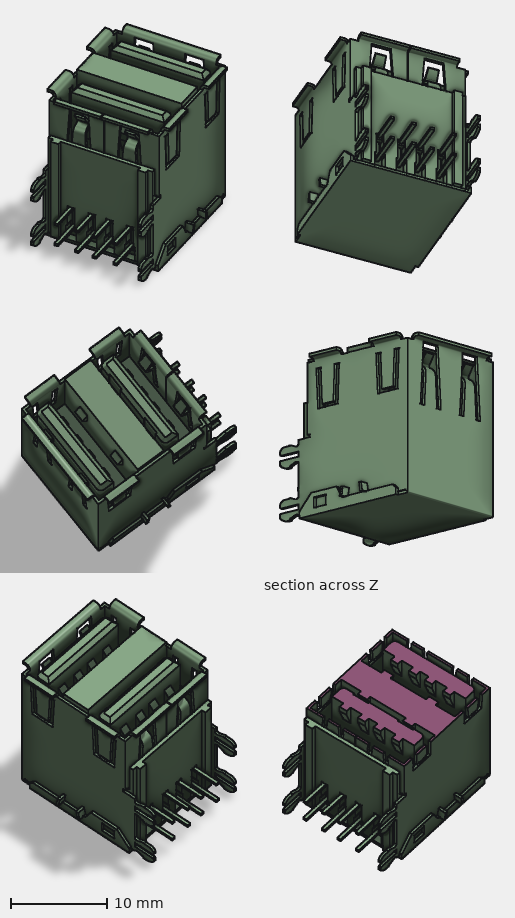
import cadquery as cq


sheet = 0.33
shell_width = 13.1
shell_depth = 14.25
wall_top = 16.75
overall_top = 17.4
wall_bottom = 0.4
port_pitch = 8.5
tiny = 0.05

fold_radius = 0.2

half_width = shell_width / 2
half_inner = half_width - sheet
back_inner = shell_depth - sheet

lip_reach = 0.71
lip_inner_radius = overall_top - wall_top
lip_outer_radius = lip_inner_radius - sheet
front_lip_length = 11.2
side_lip_length = 3.9
side_lip_front = 0.91

front_edge = -1.28
plate_front = -0.79
plate_back = -0.3
plate_top = 12.57
step_top = 8.64
front_wall_bottom = 8.97
notch_top = 9.2
seam_width = 0.1
rib_inner = 4.71
rib_outer = 5.66
gap_chamfer = 0.2

housing_bottom = sheet
cavity_floor = 8.6
divider_front = 5.4
divider_back = 8.82

tongue_width = 11.06
tongue_front = 2.93
tongue_thickness = 1.85
tongue_top = 16.76
tongue_corner = 0.6
tongue_chamfer = 0.48
relief_inner = 1.99
relief_outer = 4.01
relief_depth = 0.16

bump_width = 1.28
bump_reach = 0.65
bump_bottom = 12.5
bump_crest = 13.65
bump_top = 14.3

contact_places = (-3.5, -1.05, 1.05, 3.5)
contact_width = 1.0
contact_reach = 0.63
contact_top = 14.38
contact_bow_top = 13.67
contact_bow_bottom = 12.8
contact_bottom = 11.0
pin_width = 0.43
pin_thickness = 0.27
pin_tip = -4.02
upper_pin_bottom = 4.27
lower_pin_bottom = 1.65

groove_width = 0.85
groove_foot_width = 1.2
groove_top = 4.53
groove_step = 4.03
groove_back = 0.2
groove_step_depth = 0.25
groove_foot_top = 2.15
groove_foot_taper = 0.18
ledge_top = 0.87
ledge_depth = 0.08

finger_center = 3.0
window_bottom = 10.0
window_top = 16.83
window_foot_half = 1.57
window_top_half = 1.1
finger_bend = 13.5
finger_crest = 14.65
finger_tip = 15.97
finger_reach = 0.83
finger_foot_half = 0.95
finger_tip_half = 0.58

tab_slot_top = 15.88
tab_slot_bottom = 11.5
tab_bottom = 11.89
slot_top_span = (1.27, 4.54)
slot_foot_span = (1.51, 4.35)
tab_top_span = (1.93, 3.87)
tab_foot_span = (2.12, 3.7)

base_front = -0.82
base_back = 12.92
half_base = half_width + sheet
flap_corner = 0.72
flap_low = 1.17
flap_high = 2.45
flap_low_span = (5.22, 12.43)
flap_high_span = (0.86, 4.46)
flap_window_y = (1.25, 2.94)
flap_window_z = (0.76, 1.9)
stud_tip = 7.5
stud_thickness = 0.33
stud_lean = 0.16
stud_knee_lean = 0.1
stud_knee = 1.84
rear_stud = 8.55
front_stud = 5.63
stud_bottom = 1.1
stud_top = 2.08

leg_length = 2.62
leg_slot_middles = (7.12, 1.41)
leg_slot_half = 0.28
leg_tip_chamfer = (0.1, 0.12)
upper_root = 1.05
upper_neck = 0.91
upper_lobe = 1.12
upper_shoulder = 0.66
lower_root = 0.92
lower_neck = 0.8
lower_lobe = 1.24
lower_heel = 1.04
lower_shoulder = 0.76


def box(x0, x1, y0, y1, z0, z1):
    return cq.Workplane("XY").box(x1 - x0, y1 - y0, z1 - z0, centered=False).translate((x0, y0, z0))


def side_profile(points, x0, x1):
    """Extrude a (Y, Z) polygon from x0 to x1."""
    return cq.Workplane("YZ").workplane(offset=x0).polyline(points).close().extrude(x1 - x0)


def front_profile(points, y0, y1):
    """Extrude an (X, Z) polygon from y0 to y1."""
    return cq.Workplane("XZ").workplane(offset=-y1).polyline(points).close().extrude(y1 - y0)


def both_sides(body):
    return body.union(body.mirror("YZ"))


def mirror_front_to_back(body):
    return body.mirror("XZ").translate((0, shell_depth, 0))


def lip(length):
    """Flared lip along X; the wall's outer face is Y = 0 and the lip turns toward -Y."""
    diagonal = 0.5 ** 0.5
    center_y = -lip_outer_radius
    return (
        cq.Workplane("YZ").workplane(offset=-length / 2)
        .moveTo(0, wall_top - tiny)
        .lineTo(0, wall_top)
        .threePointArc(
            (center_y + lip_outer_radius * diagonal, wall_top + lip_outer_radius * diagonal),
            (center_y, wall_top + lip_outer_radius))
        .lineTo(-lip_reach, wall_top + lip_outer_radius)
        .lineTo(-lip_reach, overall_top)
        .lineTo(center_y, overall_top)
        .threePointArc(
            (center_y + lip_inner_radius * diagonal, wall_top + lip_inner_radius * diagonal),
            (sheet, wall_top))
        .lineTo(sheet, wall_top - tiny)
        .close()
        .extrude(length)
    )


def make_lips():
    front = lip(front_lip_length)
    side = lip(side_lip_length).rotate((0, 0, 0), (0, 0, 1), -90).translate((-half_width, 0, 0))
    lips = front.union(mirror_front_to_back(front))
    for port in range(2):
        middle = side_lip_front + side_lip_length / 2 + port * port_pitch
        lips = lips.union(both_sides(side.translate((0, middle, 0))))
    return lips


def leg_prongs(slot_middle):
    """Upper and lower prong of one snap-in leg, drawn as (Y, Z) outlines around its slot."""
    tip = front_edge - leg_length
    upper_lobe_span = (tip + 0.65, tip + 1.3)
    upper_curve = (tip + 0.3, upper_lobe - 0.11)
    lower_lobe_span = (tip + 0.9, tip + 1.36)
    lower_curve = (tip + 0.4, 0.16 - lower_lobe)
    heel = tip + 1.5
    root = front_edge + tiny
    neck = front_edge - 0.15
    neck_end = front_edge - 0.42
    chamfer_y, chamfer_z = leg_tip_chamfer
    upper = (
        cq.Workplane("YZ").moveTo(root, leg_slot_half)
        .lineTo(tip + chamfer_y, leg_slot_half)
        .lineTo(tip, leg_slot_half + chamfer_z)
        .lineTo(tip, upper_shoulder)
        .threePointArc(upper_curve, (upper_lobe_span[0], upper_lobe))
        .lineTo(upper_lobe_span[1], upper_lobe)
        .spline([(neck_end, upper_neck), (neck, upper_neck), (front_edge, upper_root)],
                includeCurrent=True)
        .lineTo(root, upper_root)
        .close()
        .extrude(sheet)
    )
    lower = (
        cq.Workplane("YZ").moveTo(root, -leg_slot_half)
        .lineTo(tip + chamfer_y, -leg_slot_half)
        .lineTo(tip, -leg_slot_half - chamfer_z)
        .lineTo(tip, -lower_shoulder)
        .threePointArc(lower_curve, (lower_lobe_span[0], -lower_lobe))
        .lineTo(lower_lobe_span[1], -lower_lobe)
        .lineTo(heel, -lower_heel)
        .spline([(neck_end, -lower_neck), (neck, -lower_neck), (front_edge, -lower_root)],
                includeCurrent=True)
        .lineTo(root, -lower_root)
        .close()
        .extrude(sheet)
    )
    return upper.union(lower).translate((0, 0, slot_middle))


def wall_trapezoid(top_span, top, foot_span, foot):
    """Sheet-thick trapezoid given by its Y extents at two heights."""
    return side_profile(
        [(top_span[0], top), (top_span[1], top), (foot_span[1], foot), (foot_span[0], foot)], 0, sheet)


def cut_tab_slot(wall, port):
    """U-shaped slot that leaves a tab hanging from its upper edge."""
    slot = wall_trapezoid(slot_top_span, tab_slot_top, slot_foot_span, tab_slot_bottom)
    tab = wall_trapezoid(tab_top_span, tab_slot_top, tab_foot_span, tab_bottom)
    return wall.cut(slot.cut(tab).translate((0, port * port_pitch, 0)))


def make_side_walls():
    wall = side_profile(
        [(shell_depth, wall_bottom), (shell_depth, wall_top), (0, wall_top), (0, notch_top),
         (sheet, notch_top), (sheet, step_top), (front_edge, step_top), (front_edge, wall_bottom)],
        0, sheet)
    for port in range(2):
        wall = cut_tab_slot(wall, port)
    for slot_middle in leg_slot_middles:
        wall = wall.union(leg_prongs(slot_middle))
    return both_sides(wall.translate((half_inner, 0, 0)))


def window_outline():
    """Trapezoidal finger window, narrower at the top, as (X, Z) points."""
    left = -finger_center - window_foot_half
    right = -finger_center + window_foot_half
    top_left = -finger_center - window_top_half
    top_right = -finger_center + window_top_half
    return [(left, window_bottom), (right, window_bottom), (top_right, window_top), (top_left, window_top)]


def make_finger():
    """Spring finger rising from the window's lower edge and bowing into the port."""
    foot = window_bottom - tiny
    crest_inner = finger_reach + sheet
    outer_bend = (0.45, finger_bend + 0.8)
    inner_bend = (0.62, finger_bend + 0.52)
    inner_bend_middle = (0.41, finger_bend + 0.3)
    outer_rounding = (0.1, 0.2)
    inner_rounding = (0.12, 0.3)
    tip_outer = (0.1, finger_tip - 0.2)
    tip_inner = (0.25, finger_tip)
    bowed = (
        cq.Workplane("YZ").workplane(offset=-half_width)
        .moveTo(0, foot)
        .lineTo(0, finger_bend)
        .tangentArcPoint(outer_bend, relative=False)
        .lineTo(finger_reach - outer_rounding[0], finger_crest - outer_rounding[1])
        .threePointArc((finger_reach, finger_crest),
                       (finger_reach - outer_rounding[0], finger_crest + outer_rounding[1]))
        .lineTo(*tip_outer)
        .lineTo(*tip_inner)
        .lineTo(crest_inner - inner_rounding[0], finger_crest + inner_rounding[1])
        .threePointArc((crest_inner, finger_crest),
                       (crest_inner - inner_rounding[0], finger_crest - inner_rounding[1]))
        .lineTo(*inner_bend)
        .threePointArc(inner_bend_middle, (sheet, finger_bend))
        .lineTo(sheet, foot)
        .close()
        .extrude(half_width)
    )
    taper = front_profile(
        [(-finger_center - finger_foot_half, foot), (-finger_center + finger_foot_half, foot),
         (-finger_center + finger_tip_half, finger_tip), (-finger_center - finger_tip_half, finger_tip)],
        0, crest_inner)
    return bowed.intersect(taper)


def make_end_walls():
    """Front and back walls of the shell with their windows and spring fingers."""
    windows = both_sides(front_profile(window_outline(), -lip_reach, sheet))
    fingers = both_sides(make_finger())
    lips = make_lips()
    front = box(-half_width, half_width, 0, sheet, front_wall_bottom, wall_top)
    back = box(-half_width, half_width, back_inner, shell_depth, 0, wall_top)
    back = back.edges(">Y and <Z").fillet(fold_radius)
    walls = front.union(back).union(lips)
    walls = walls.cut(windows).cut(mirror_front_to_back(windows))
    seam = box(-seam_width / 2, seam_width / 2, -lip_reach, sheet, front_wall_bottom, overall_top)
    return walls.cut(seam).union(fingers).union(mirror_front_to_back(fingers))


def make_stud(foot_y, lean):
    """Tilted stud with a hooked tip; lean is +1 or -1, the way it tilts along Y."""
    half = stud_thickness / 2
    leading = foot_y + lean * half
    trailing = foot_y - lean * half
    outline = [
        (leading, stud_bottom),
        (leading + lean * stud_knee_lean, stud_knee),
        (leading + lean * stud_lean, stud_top),
        (trailing + lean * stud_lean, stud_top),
        (trailing + lean * stud_lean, stud_knee),
        (trailing, stud_bottom),
    ]
    return side_profile(outline, half_width - tiny, stud_tip)


def make_base():
    """Bottom plate whose side flaps fold up against the side walls."""
    base = box(-half_base, half_base, base_front, base_back, 0, sheet)
    base = base.union(box(-half_width, half_width, base_back, back_inner, 0, sheet))
    flap = side_profile(
        [(base_back, 0), (base_back, flap_corner), (flap_low_span[1], flap_low), (flap_low_span[0], flap_low),
         (flap_high_span[1], flap_high), (flap_high_span[0], flap_high),
         (base_front, flap_corner), (base_front, 0)],
        half_width, half_base)
    flap = flap.cut(box(half_width, half_base, *flap_window_y, *flap_window_z))
    flap = flap.union(make_stud(rear_stud, -1)).union(make_stud(front_stud, 1))
    return base.union(both_sides(flap))


def make_tongue():
    """Front port's tongue: rounded rear corners and a chamfered tip."""
    tongue = box(-tongue_width / 2, tongue_width / 2, tongue_front, tongue_front + tongue_thickness,
                 cavity_floor - tiny, tongue_top)
    tongue = tongue.edges("|Z and >Y").fillet(tongue_corner)
    return tongue.faces(">Z").chamfer(tongue_chamfer)


def make_contacts():
    """Bowed contacts on the front face of the front port's tongue."""
    bow = tongue_front - contact_reach
    root = tongue_front + tiny
    profile = [(root, contact_top), (tongue_front, contact_top), (bow, contact_bow_top),
               (bow, contact_bow_bottom), (tongue_front, contact_bottom), (root, contact_bottom)]
    contacts = cq.Workplane("XY")
    for place in contact_places:
        contacts = contacts.union(
            side_profile(profile, place - contact_width / 2, place + contact_width / 2))
    return contacts


def make_divider():
    """Block between the ports, with a pair of sprung bumps on its front and back faces."""
    divider = box(-half_inner, half_inner, divider_front, divider_back, cavity_floor - tiny, overall_top)
    bump = side_profile(
        [(divider_front - bump_reach, bump_crest), (divider_front, bump_bottom),
         (divider_back, bump_bottom), (divider_back + bump_reach, bump_crest),
         (divider_back, bump_top), (divider_front, bump_top)],
        -finger_center - bump_width / 2, -finger_center + bump_width / 2)
    return divider.union(both_sides(bump))


def make_plate():
    """Mounting-side plate with two full-height ribs."""
    plate = box(-half_inner, half_inner, plate_front, plate_back, housing_bottom, plate_top)
    rib = box(rib_inner, rib_outer, front_edge, plate_front, housing_bottom, plate_top)
    root_chamfer = side_profile(
        [(plate_back, front_wall_bottom), (plate_back + gap_chamfer, front_wall_bottom),
         (plate_back, front_wall_bottom + gap_chamfer)], -half_inner, half_inner)
    return plate.union(both_sides(rib)).union(root_chamfer)


def make_groove():
    """Stepped groove around one pair of pins, with a low ledge at its foot."""
    half = groove_width / 2
    foot_half = groove_foot_width / 2
    groove = front_profile(
        [(-half, groove_step), (half, groove_step), (half, groove_foot_top),
         (foot_half, groove_foot_top - groove_foot_taper), (foot_half, housing_bottom),
         (-foot_half, housing_bottom), (-foot_half, groove_foot_top - groove_foot_taper),
         (-half, groove_foot_top)],
        plate_front, groove_back)
    step = box(-half, half, plate_front, plate_front + groove_step_depth, groove_step, groove_top)
    ledge = box(-foot_half, foot_half, groove_back - ledge_depth, groove_back, housing_bottom, ledge_top)
    return groove.cut(ledge).union(step)


def make_pins():
    """Upper and lower solder pin of one groove, and the lower pin's upright."""
    half = pin_width / 2
    upper = box(-half, half, pin_tip, groove_back, upper_pin_bottom, upper_pin_bottom + pin_thickness)
    lower = box(-half, half, pin_tip, groove_back, lower_pin_bottom, lower_pin_bottom + pin_thickness)
    upright = box(-half, half, groove_back - pin_thickness, groove_back + tiny,
                  lower_pin_bottom, groove_step + tiny)
    return upper.union(lower).union(upright)


def make_housing():
    body = box(-half_inner, half_inner, plate_front, back_inner, housing_bottom, cavity_floor)
    shelf = box(-half_inner, half_inner, plate_front, sheet, cavity_floor, front_wall_bottom)
    housing = body.union(shelf).union(make_plate()).union(make_divider())

    tongue = make_tongue()
    relief = box(relief_inner, relief_outer, tongue_front + tongue_thickness - relief_depth,
                 divider_front, cavity_floor, tongue_top)
    contacts = make_contacts()
    housing = housing.union(tongue.cut(both_sides(relief))).union(contacts)
    housing = housing.union(tongue.union(contacts).translate((0, port_pitch, 0)))

    for place in contact_places:
        housing = housing.cut(make_groove().translate((place, 0, 0)))
        housing = housing.union(make_pins().translate((place, 0, 0)))
    return housing


shell = make_side_walls().union(make_end_walls()).union(make_base())
result = shell.union(make_housing())